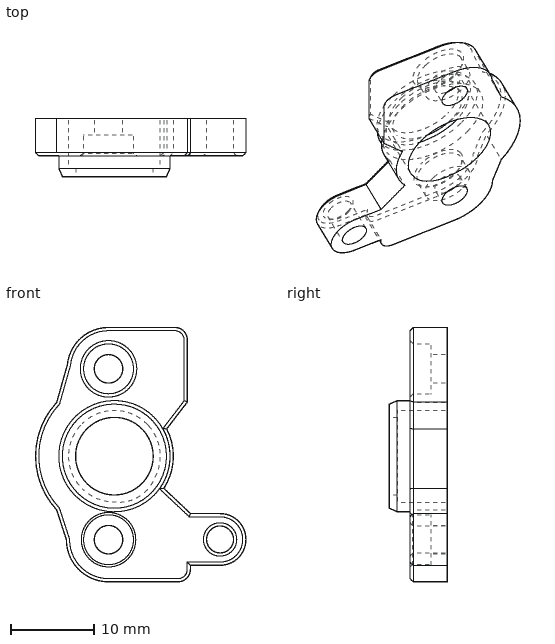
import cadquery as cq
import math

plate_thickness = 4.5
edge_chamfer = 0.4
left_radius = 9.48
ring_radius = 7.1
corner_radius = 1.53
upper_right_x = 8.78
lower_right_x = 9.15
upper_right_bottom_z = 6.52
flank_z = 6.45

screw_x = -0.7
upper_screw_z = 10.5
lower_screw_z = -10.03
upper_round_radius = 5.0
lower_round_radius = 5.08
upper_flank_rise = 0.5
screw_diameter = 3.4
counterbore_diameter = 6.0
counterbore_depth = 2.5
upper_counterbore_chamfer = 0.4
lower_counterbore_chamfer = 0.28

ear_x = 12.7
ear_z = -10.0
ear_radius = 3.12
ear_hole_diameter = 3.2
ear_hole_chamfer = 0.4

boss_diameter = 13.37
boss_height = 2.5
boss_chamfer_width = 0.43
boss_chamfer_length = 0.98
bore_diameter = 9.3
seat_diameter = 11.0
lip_thickness = 1.0
relief_diameter = 9.3
relief_offset = 1.05
relief_angle = -60.0

upper_notch_angle = 27.5
lower_notch_angle = -33.0


def on_circle(radius, degrees, center=(0, 0)):
    angle = math.radians(degrees)
    return (center[0] + radius * math.cos(angle), center[1] + radius * math.sin(angle))


def cylinder(x, z, diameter, front_y, depth):
    """Cylinder running toward +Y from front_y."""
    base = cq.Workplane("XZ", origin=(x, front_y, z))
    return base.circle(diameter / 2).extrude(-depth)


def countersink(x, z, diameter, chamfer):
    """Cone that chamfers a hole mouth in the front face of the plate."""
    base = cq.Workplane("XZ", origin=(x, -plate_thickness, z))
    return base.circle(diameter / 2 + chamfer).extrude(-chamfer, taper=45)


def make_plate():
    top_z = upper_screw_z + upper_round_radius
    bottom_z = lower_screw_z - lower_round_radius
    ear_top_z = ear_z + ear_radius
    ear_bottom_z = ear_z - ear_radius
    flank_x = -math.sqrt(left_radius**2 - flank_z**2)
    upper_center = (screw_x, upper_screw_z)
    lower_center = (screw_x, lower_screw_z)
    upper_angle = 180 - math.degrees(math.asin(upper_flank_rise / upper_round_radius))
    outline = (
        cq.Workplane("XZ")
        .moveTo(screw_x, top_z)
        .lineTo(upper_right_x - corner_radius, top_z)
        .radiusArc((upper_right_x, top_z - corner_radius), corner_radius)
        .lineTo(upper_right_x, upper_right_bottom_z)
        .lineTo(*on_circle(ring_radius, upper_notch_angle))
        .threePointArc((ring_radius, 0), on_circle(ring_radius, lower_notch_angle))
        .lineTo(lower_right_x, ear_top_z)
        .lineTo(ear_x, ear_top_z)
        .threePointArc((ear_x + ear_radius, ear_z), (ear_x, ear_bottom_z))
        .lineTo(lower_right_x, ear_bottom_z)
        .lineTo(lower_right_x, bottom_z + corner_radius)
        .radiusArc((lower_right_x - corner_radius, bottom_z), corner_radius)
        .lineTo(screw_x, bottom_z)
        .threePointArc(
            on_circle(lower_round_radius, 225, lower_center),
            on_circle(lower_round_radius, 180, lower_center),
        )
        .lineTo(flank_x, -flank_z)
        .threePointArc((-left_radius, 0), (flank_x, flank_z))
        .lineTo(*on_circle(upper_round_radius, upper_angle, upper_center))
        .threePointArc(on_circle(upper_round_radius, 130, upper_center), (screw_x, top_z))
        .close()
    )
    return outline.extrude(plate_thickness).faces("<Y").chamfer(edge_chamfer)


def make_boss():
    boss = cylinder(0, 0, boss_diameter, -plate_thickness - boss_height, plate_thickness + boss_height)
    return boss.faces("<Y").chamfer(boss_chamfer_length, boss_chamfer_width)


def cut_bearing_seat(body):
    front_y = -plate_thickness - boss_height
    total_depth = plate_thickness + boss_height
    body = body.cut(cylinder(0, 0, bore_diameter, front_y, total_depth))
    seat_y = front_y + lip_thickness
    seat_depth = total_depth - lip_thickness
    body = body.cut(cylinder(0, 0, seat_diameter, seat_y, seat_depth))
    relief_x, relief_z = on_circle(relief_offset, relief_angle)
    return body.cut(cylinder(relief_x, relief_z, relief_diameter, seat_y, seat_depth))


def cut_screw_hole(body, z, chamfer):
    body = body.cut(cylinder(screw_x, z, screw_diameter, -plate_thickness, plate_thickness))
    body = body.cut(cylinder(screw_x, z, counterbore_diameter, -plate_thickness, counterbore_depth))
    return body.cut(countersink(screw_x, z, counterbore_diameter, chamfer))


def cut_ear_hole(body):
    body = body.cut(cylinder(ear_x, ear_z, ear_hole_diameter, -plate_thickness, plate_thickness))
    return body.cut(countersink(ear_x, ear_z, ear_hole_diameter, ear_hole_chamfer))


result = make_plate()
result = cut_screw_hole(result, upper_screw_z, upper_counterbore_chamfer)
result = cut_screw_hole(result, lower_screw_z, lower_counterbore_chamfer)
result = cut_ear_hole(result)
result = cut_bearing_seat(result.union(make_boss()))